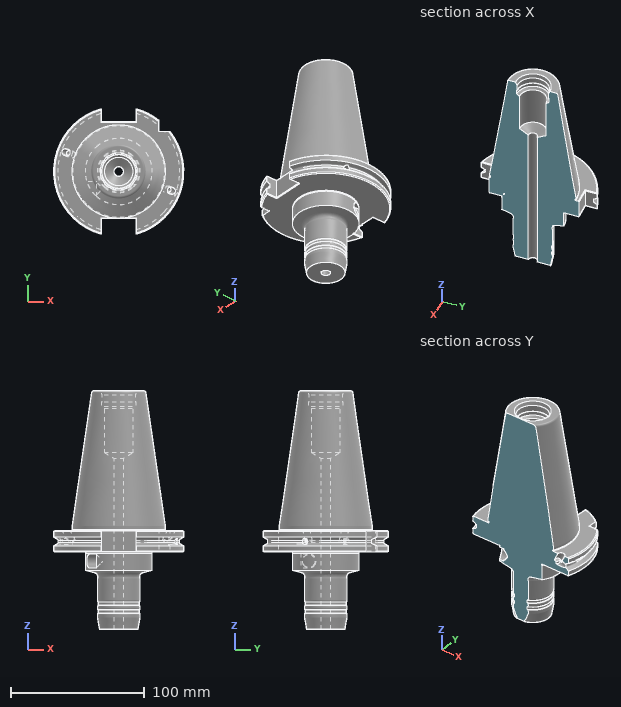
import cadquery as cq
import math

TOTAL_HEIGHT = 178.6
OVERCUT = 1.8

GAUGE_Z = 77.2
GAUGE_RADIUS = 35.0
TAPER_RATE = 7 / 24 / 2
TAPER_TOP_RADIUS = GAUGE_RADIUS - TAPER_RATE * (TOTAL_HEIGHT - GAUGE_Z)
TAPER_TOP_FILLET = 2.0

FLANGE_RADIUS = 48.8
FLANGE_BOTTOM = 57.7
FLANGE_TOP = 74.0
FLANGE_CHAMFER = 0.8
GROOVE_Z = 65.7
GROOVE_FLOOR_RADIUS = 45.5
GROOVE_FLOOR_HALF_WIDTH = 1.5
GROOVE_FLANK_ANGLE = 30
GROOVE_FILLET = 0.9
GROOVE_HALF_WIDTH = GROOVE_FLOOR_HALF_WIDTH + (
    (FLANGE_RADIUS - GROOVE_FLOOR_RADIUS) * math.tan(math.radians(GROOVE_FLANK_ANGLE))
)
RELIEF_DEPTH = 0.7
RELIEF_HEIGHT = 0.7

SLOT_WIDTH = 25.7
BACK_SLOT_FLOOR = 37.3
FRONT_SLOT_FLOOR = 35.4
SLOT_CHAMFER = 0.5
NOTCH_CORNER = 30.0

COOLANT_ANGLES = (160, 340)
COOLANT_ENTRY_RADIUS = 42.0
COOLANT_HOLE_RADIUS = 2.7
COOLANT_TILT = 30
PLUG_HOLE_RADIUS = 2.1
COOLANT_DROP = FLANGE_TOP - GROOVE_Z
PLUG_HOLE_END = COOLANT_ENTRY_RADIUS - COOLANT_DROP * math.tan(math.radians(COOLANT_TILT))

COLLAR_RADIUS = 25.0
COLLAR_BOTTOM = 44.1
COLLAR_NECK_DEPTH = 0.09
COLLAR_NECK_HEIGHT = 0.9
COLLAR_CONE_ANGLE = 15
NECK_FILLET = 2.9

NOSE_RADIUS = 15.98
NOSE_TIP_RADIUS = 14.5
NOSE_TIP_HEIGHT = 8.5
NECK_DEPTH = 0.2
NECK_BOTTOM = 39.1
NECK_RUNOUT = 1.5
RING_BOTTOMS = (10.9, 16.8)
RING_HEIGHT = 4.8
RING_RUNOUT = 1.0
RING_STEP = 0.27
RING_LIP_DEPTH = 0.27
RING_DEPTH = 0.45

POCKET_FLOOR_X = -16.6
POCKET_Y = -12.7
POCKET_Z = 51.0
POCKET_RADIUS = 5.27
SCREW_CONE_RADIUS = 4.8
SCREW_CONE_ANGLE = 90

BORE_MOUTH_RADIUS = 13.85
PILOT_RADIUS = 12.6
MOUTH_DEPTH = 3.0
PILOT_DEPTH = 8.4
UNDERCUT = 0.27
UNDERCUT_END_DEPTH = 11.8
THREAD_RADIUS = 10.63
THREAD_START_DEPTH = 13.4
THREAD_END_DEPTH = 46.5
COOLANT_BORE_RADIUS = 3.48
BORE_CONE_ANGLE = 118


def cone_height(base_radius, tip_radius, angle):
    return (base_radius - tip_radius) / math.tan(math.radians(angle / 2))


def revolve_profile(points):
    return cq.Workplane("XZ").polyline(points).close().revolve(360, (0, 0, 0), (0, 1, 0))


def make_taper():
    relief_radius = GAUGE_RADIUS - RELIEF_DEPTH
    taper = revolve_profile([
        (0, FLANGE_BOTTOM),
        (relief_radius, FLANGE_BOTTOM),
        (relief_radius, FLANGE_TOP + RELIEF_HEIGHT),
        (GAUGE_RADIUS, FLANGE_TOP + RELIEF_HEIGHT),
        (GAUGE_RADIUS, GAUGE_Z),
        (TAPER_TOP_RADIUS, TOTAL_HEIGHT),
        (0, TOTAL_HEIGHT),
    ])
    return taper.faces(">Z").edges().fillet(TAPER_TOP_FILLET)


def slot_cutter(floor, side):
    """Drive slot whose mouth flares by the slot chamfer where it meets the flange rim."""
    half_width = SLOT_WIDTH / 2
    flare_start = math.sqrt(FLANGE_RADIUS**2 - half_width**2) - SLOT_CHAMFER
    mouth = FLANGE_RADIUS + OVERCUT
    mouth_half_width = half_width + mouth - flare_start
    outline = [
        (-half_width, side * floor),
        (half_width, side * floor),
        (half_width, side * flare_start),
        (mouth_half_width, side * mouth),
        (-mouth_half_width, side * mouth),
        (-half_width, side * flare_start),
    ]
    return (
        cq.Workplane("XY", origin=(0, 0, FLANGE_BOTTOM - OVERCUT))
        .polyline(outline)
        .close()
        .extrude(FLANGE_TOP - FLANGE_BOTTOM + 2 * OVERCUT)
    )


def slot_rim_cutter(floor, side, face_z, direction):
    """Wedge that bevels the rim of a drive slot at one flange face."""
    length = FLANGE_RADIUS + OVERCUT - floor
    return (
        cq.Workplane("XY", origin=(0, side * (floor + length / 2), face_z))
        .rect(SLOT_WIDTH + 2 * SLOT_CHAMFER, length + 2 * SLOT_CHAMFER)
        .workplane(offset=direction * SLOT_CHAMFER)
        .rect(SLOT_WIDTH, length)
        .loft(ruled=True)
    )


def make_flange():
    flange = revolve_profile([
        (0, FLANGE_BOTTOM),
        (FLANGE_RADIUS - FLANGE_CHAMFER, FLANGE_BOTTOM),
        (FLANGE_RADIUS, FLANGE_BOTTOM + FLANGE_CHAMFER),
        (FLANGE_RADIUS, GROOVE_Z - GROOVE_HALF_WIDTH),
        (GROOVE_FLOOR_RADIUS, GROOVE_Z - GROOVE_FLOOR_HALF_WIDTH),
        (GROOVE_FLOOR_RADIUS, GROOVE_Z + GROOVE_FLOOR_HALF_WIDTH),
        (FLANGE_RADIUS, GROOVE_Z + GROOVE_HALF_WIDTH),
        (FLANGE_RADIUS, FLANGE_TOP - FLANGE_CHAMFER),
        (FLANGE_RADIUS - FLANGE_CHAMFER, FLANGE_TOP),
        (0, FLANGE_TOP),
    ])
    groove_floor = cq.selectors.BoxSelector(
        (-OVERCUT, -OVERCUT, GROOVE_Z - OVERCUT),
        (OVERCUT, OVERCUT, GROOVE_Z + OVERCUT),
    )
    flange = flange.edges("%CIRCLE").edges(groove_floor).fillet(GROOVE_FILLET)
    for floor, side in ((BACK_SLOT_FLOOR, 1), (FRONT_SLOT_FLOOR, -1)):
        flange = flange.cut(slot_cutter(floor, side))
        flange = flange.cut(slot_rim_cutter(floor, side, FLANGE_TOP, -1))
        flange = flange.cut(slot_rim_cutter(floor, side, FLANGE_BOTTOM, 1))

    notch = (
        cq.Workplane("XY", origin=(NOTCH_CORNER, NOTCH_CORNER, FLANGE_BOTTOM - OVERCUT))
        .rect(FLANGE_RADIUS, FLANGE_RADIUS, centered=False)
        .extrude(FLANGE_TOP - FLANGE_BOTTOM + 2 * OVERCUT)
    )
    return flange.cut(notch)


def coolant_drilling(angle):
    """Slanted hole from the flange face, met by a radial plug hole from the groove."""
    tilt = math.radians(COOLANT_TILT)
    inward = cq.Vector(-math.sin(tilt), 0, -math.cos(tilt))
    entry = cq.Vector(COOLANT_ENTRY_RADIUS, 0, FLANGE_TOP)
    slant_length = COOLANT_DROP / math.cos(tilt)
    slanted = cq.Solid.makeCylinder(
        COOLANT_HOLE_RADIUS, slant_length + OVERCUT, entry - inward * OVERCUT, inward
    )
    plug = cq.Solid.makeCylinder(
        PLUG_HOLE_RADIUS,
        FLANGE_RADIUS - PLUG_HOLE_END,
        cq.Vector(PLUG_HOLE_END, 0, GROOVE_Z),
        cq.Vector(1, 0, 0),
    )
    drilling = cq.Workplane(slanted).union(cq.Workplane(plug))
    return drilling.rotate((0, 0, 0), (0, 0, 1), angle)


def make_collar_and_nose():
    neck_radius = NOSE_RADIUS - NECK_DEPTH
    collar_neck_radius = COLLAR_RADIUS - COLLAR_NECK_DEPTH
    cone_angle = math.radians(COLLAR_CONE_ANGLE)
    cone_end_z = COLLAR_BOTTOM - (COLLAR_RADIUS - neck_radius) * math.tan(cone_angle)
    body = revolve_profile([
        (0, 0),
        (NOSE_TIP_RADIUS, 0),
        (NOSE_RADIUS, NOSE_TIP_HEIGHT),
        (NOSE_RADIUS, NECK_BOTTOM - NECK_RUNOUT),
        (neck_radius, NECK_BOTTOM),
        (neck_radius, cone_end_z),
        (COLLAR_RADIUS, COLLAR_BOTTOM),
        (COLLAR_RADIUS, FLANGE_BOTTOM - COLLAR_NECK_HEIGHT),
        (collar_neck_radius, FLANGE_BOTTOM - COLLAR_NECK_HEIGHT),
        (collar_neck_radius, FLANGE_TOP),
        (0, FLANGE_TOP),
    ])
    corner = cq.selectors.BoxSelector(
        (-NOSE_RADIUS, -NOSE_RADIUS, cone_end_z - NECK_DEPTH),
        (NOSE_RADIUS, NOSE_RADIUS, cone_end_z + NECK_DEPTH),
    )
    body = body.edges("%CIRCLE").edges(corner).fillet(NECK_FILLET)
    for ring_bottom in RING_BOTTOMS:
        body = body.cut(ring_groove(ring_bottom))
    return body


def ring_groove(bottom):
    """Shallow groove around the nose: a tapered lip, a small step and a flat floor."""
    top = bottom + RING_HEIGHT
    lip_radius = NOSE_RADIUS - RING_LIP_DEPTH
    floor_radius = NOSE_RADIUS - RING_DEPTH
    return revolve_profile([
        (NOSE_RADIUS, bottom),
        (lip_radius, bottom + RING_RUNOUT),
        (floor_radius, bottom + RING_RUNOUT + RING_STEP),
        (floor_radius, top - RING_RUNOUT - RING_STEP),
        (lip_radius, top - RING_RUNOUT),
        (NOSE_RADIUS, top),
        (NOSE_RADIUS + OVERCUT, top),
        (NOSE_RADIUS + OVERCUT, bottom),
    ])


def screw_pocket():
    """Round-ended pocket open to -X and -Y, with a conical recess in its floor."""
    depth = COLLAR_RADIUS + POCKET_FLOOR_X
    floor_center = cq.Vector(POCKET_FLOOR_X, POCKET_Y, POCKET_Z)
    outward = cq.Vector(-1, 0, 0)
    round_end = cq.Solid.makeCylinder(POCKET_RADIUS, depth, floor_center, outward)
    open_side = cq.Workplane("XY").box(depth, COLLAR_RADIUS, 2 * POCKET_RADIUS).translate(
        (POCKET_FLOOR_X - depth / 2, POCKET_Y - COLLAR_RADIUS / 2, POCKET_Z)
    )
    point_height = cone_height(SCREW_CONE_RADIUS, 0, SCREW_CONE_ANGLE)
    point = cq.Solid.makeCone(SCREW_CONE_RADIUS, 0, point_height, floor_center, cq.Vector(1, 0, 0))
    return open_side.union(cq.Workplane(round_end)).union(cq.Workplane(point))


def bore():
    undercut_radius = PILOT_RADIUS + UNDERCUT
    cone_end_depth = THREAD_END_DEPTH + cone_height(
        THREAD_RADIUS, COOLANT_BORE_RADIUS, BORE_CONE_ANGLE
    )
    return revolve_profile([
        (0, TOTAL_HEIGHT),
        (BORE_MOUTH_RADIUS, TOTAL_HEIGHT),
        (PILOT_RADIUS, TOTAL_HEIGHT - MOUTH_DEPTH),
        (PILOT_RADIUS, TOTAL_HEIGHT - PILOT_DEPTH),
        (undercut_radius, TOTAL_HEIGHT - PILOT_DEPTH),
        (undercut_radius, TOTAL_HEIGHT - UNDERCUT_END_DEPTH),
        (THREAD_RADIUS, TOTAL_HEIGHT - THREAD_START_DEPTH),
        (THREAD_RADIUS, TOTAL_HEIGHT - THREAD_END_DEPTH),
        (COOLANT_BORE_RADIUS, TOTAL_HEIGHT - cone_end_depth),
        (COOLANT_BORE_RADIUS, 0),
        (0, 0),
    ])


flange = make_flange()
holder = make_collar_and_nose().union(flange)
holder = holder.union(make_taper())
for coolant_angle in COOLANT_ANGLES:
    holder = holder.cut(coolant_drilling(coolant_angle))
result = holder.cut(screw_pocket()).cut(bore())